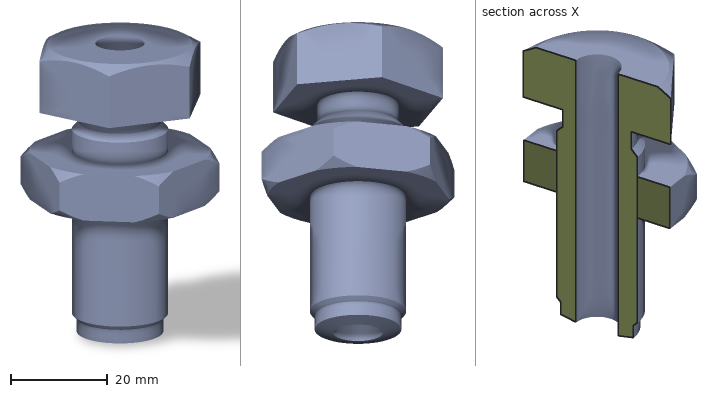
import cadquery as cq
import math

total_height = 63.0
bore_diameter = 10.3

head_corners = 36.3
head_height = 13.0
head_face_diameter = 30.0
head_bevel_angle = 30.0

shank_diameter = 20.0
neck_diameter = 17.0
neck_length = 4.05
tip_diameter = 18.0
tip_height = 3.7
tip_cone_height = 0.75

nut_corners = 41.6
nut_height = 10.0
nut_bottom = 29.8
nut_face_diameter = 37.55
nut_bevel_angle = 45.0

head_bottom = total_height - head_height
neck_bottom = head_bottom - neck_length
neck_bevel = (shank_diameter - neck_diameter) / 2
tip_bevel = (shank_diameter - tip_diameter) / 2


def bevel_drop(corners, face_diameter, angle):
    """Height of the conical bevel where it reaches the hexagon corners."""
    return (corners - face_diameter) / 2 * math.tan(math.radians(angle))


def revolve_profile(points):
    """Turn a closed (radius, height) outline around the Z axis."""
    return cq.Workplane("XZ").polyline(points).close().revolve(360, (0, 0), (0, 1))


def hexagon(corners, bottom, height):
    """Hexagonal prism with two corners on the X axis."""
    return cq.Workplane("XY").workplane(offset=bottom).polygon(6, corners).extrude(height)


def make_head():
    drop = bevel_drop(head_corners, head_face_diameter, head_bevel_angle)
    blank = hexagon(head_corners, head_bottom, head_height).rotate((0, 0, 0), (0, 0, 1), 90)
    envelope = revolve_profile([
        (0, head_bottom),
        (head_corners / 2, head_bottom),
        (head_corners / 2, total_height - drop),
        (head_face_diameter / 2, total_height),
        (0, total_height),
    ])
    return blank.intersect(envelope)


def make_shank():
    return revolve_profile([
        (0, 0),
        (bore_diameter / 2, 0),
        (tip_diameter / 2, tip_cone_height),
        (tip_diameter / 2, tip_height),
        (shank_diameter / 2, tip_height + tip_bevel),
        (shank_diameter / 2, neck_bottom - neck_bevel),
        (neck_diameter / 2, neck_bottom),
        (neck_diameter / 2, head_bottom),
        (0, head_bottom),
    ])


def make_bolt():
    bore = cq.Workplane("XY").circle(bore_diameter / 2).extrude(total_height)
    return make_head().union(make_shank()).cut(bore)


def make_nut():
    drop = bevel_drop(nut_corners, nut_face_diameter, nut_bevel_angle)
    nut_top = nut_bottom + nut_height
    envelope = revolve_profile([
        (0, nut_bottom),
        (nut_face_diameter / 2, nut_bottom),
        (nut_corners / 2, nut_bottom + drop),
        (nut_corners / 2, nut_top - drop),
        (nut_face_diameter / 2, nut_top),
        (0, nut_top),
    ])
    shank_hole = (
        cq.Workplane("XY")
        .workplane(offset=nut_bottom)
        .circle(shank_diameter / 2)
        .extrude(nut_height)
    )
    return hexagon(nut_corners, nut_bottom, nut_height).intersect(envelope).cut(shank_hole)


bolt = make_bolt()
nut = make_nut()

result = cq.Compound.makeCompound([bolt.val(), nut.val()])